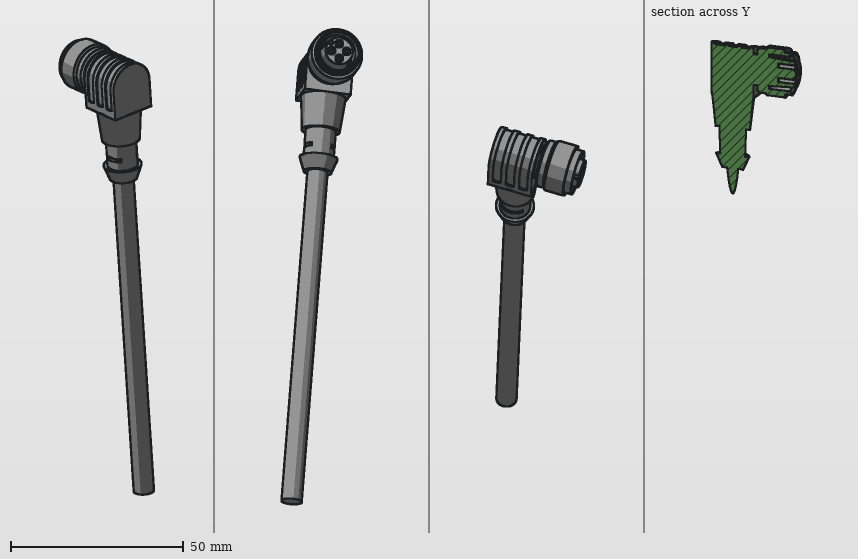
import cadquery as cq
import math

total_length = 138.6
lean_angle = 4.4

nut_radius = 7.5
collar_radius = 6.5
collar_bore_radius = 5.3
mouth_chamfer = 0.7
collar_start = 1.2
nut_start = 3.3
nut_end = 8.9
grip_start = 9.5
grip_end = 11.4
grip_radius = 6.9
lip_end = 12.0
lip_radius = 6.2
neck_radius = 4.9
insert_radius = 4.0
insert_root_radius = 4.6
bore_end = 8.3

contact_count = 4
contact_circle_radius = 2.2
contact_radius = 0.5
contact_depth = 5.5
contact_mouth_radius = 1.1
contact_mouth_depth = 0.4
keyway_width = 1.2
keyway_depth = 1.1
keyway_angle = 45.0

housing_start = 13.0
housing_end = 26.2
housing_radius = 6.8
housing_drop = 8.7
channel_positions = (15.5, 19.5, 23.5)
channel_width = 2.5
channel_depth = 0.4
channel_drop = 6.4
channel_corner_radius = 0.7

cable_x = (housing_start + housing_end) / 2
boot_top_radius = 6.5
boot_bottom_radius = 5.5
boot_end = 18.8
sleeve_radius = 4.5
sleeve_end = 27.2
flare_top_radius = 5.5
flare_bottom_radius = 4.0
flare_end = 31.3
slit_drop = 24.0
slit_height = 1.0
slit_depth = 1.5
cable_diameter = 6.0
cable_radius = cable_diameter / 2

lean = math.radians(lean_angle)
cable_end = (total_length - nut_radius - cable_radius * math.sin(lean)) / math.cos(lean)


def make_plug():
    """Coupling nut with an open bore around the tapered insert, and the neck behind it."""
    outline = [
        (0, 0),
        (0, insert_radius),
        (bore_end, insert_root_radius),
        (bore_end, collar_bore_radius),
        (collar_start + mouth_chamfer, collar_bore_radius),
        (collar_start, collar_bore_radius + mouth_chamfer),
        (collar_start, collar_radius),
        (nut_start, collar_radius),
        (nut_start, nut_radius),
        (nut_end, nut_radius),
        (grip_start, grip_radius),
        (grip_end, grip_radius),
        (lip_end, lip_radius),
        (lip_end, neck_radius),
        (cable_x, neck_radius),
        (cable_x, 0),
    ]
    return cq.Workplane("XY").polyline(outline).close().revolve(360, (0, 0, 0), (1, 0, 0))


def make_contacts():
    """Stepped contact holes sunk into the insert face."""
    face = cq.Workplane("YZ").polarArray(contact_circle_radius, 0, 360, contact_count)
    holes = face.circle(contact_radius).extrude(contact_depth)
    return holes.union(face.circle(contact_mouth_radius).extrude(contact_mouth_depth))


def make_keyway():
    """Lengthwise coding slot in the rim of the insert."""
    slot = cq.Workplane("XY").box(bore_end, keyway_width, 2 * keyway_depth, centered=(False, True, True))
    return slot.translate((0, 0, insert_radius)).rotate((0, 0, 0), (1, 0, 0), -keyway_angle)


def arch(start, length, radius, drop):
    """Solid along X with a semicircular top on the plug axis and straight sides below."""
    profile = cq.Workplane("YZ", origin=(start, 0, 0)).moveTo(-radius, -drop).lineTo(-radius, 0)
    profile = profile.threePointArc((0, radius), (radius, 0)).lineTo(radius, -drop).close()
    return profile.extrude(length)


def make_channel(center):
    """Shallow band over the housing top, ending in rounded corners low on both sides."""
    start = center - channel_width / 2
    band = arch(start, channel_width, 2 * housing_radius, channel_drop)
    band = band.faces("<Z").edges("|Y").fillet(channel_corner_radius)
    return band.cut(arch(start, channel_width, housing_radius - channel_depth, channel_drop))


def make_housing():
    housing = arch(housing_start, housing_end - housing_start, housing_radius, housing_drop)
    for center in channel_positions:
        housing = housing.cut(make_channel(center))
    return housing


def make_slit(side):
    """Flat-bottomed cut across one side of the sleeve."""
    slit = cq.Workplane("XY").box(2 * sleeve_radius, 2 * slit_depth, slit_height)
    return slit.translate((cable_x, side * sleeve_radius, -slit_drop))


def make_cable():
    """Tapered boot, slit sleeve, flared end and the cable itself."""
    outline = [
        (0, -housing_drop),
        (boot_top_radius, -housing_drop),
        (boot_bottom_radius, -boot_end),
        (sleeve_radius, -boot_end),
        (sleeve_radius, -sleeve_end),
        (flare_top_radius, -sleeve_end),
        (flare_bottom_radius, -flare_end),
        (cable_radius, -flare_end),
        (cable_radius, -cable_end),
        (0, -cable_end),
    ]
    cable = cq.Workplane("XZ").polyline(outline).close().revolve(360, (0, 0, 0), (0, 1, 0))
    cable = cable.translate((cable_x, 0, 0))
    for side in (-1, 1):
        cable = cable.cut(make_slit(side))
    return cable


plug = make_plug().cut(make_contacts()).cut(make_keyway())
leaning_part = make_housing().union(make_cable()).rotate((0, 0, 0), (1, 0, 0), lean_angle)
result = plug.union(leaning_part)